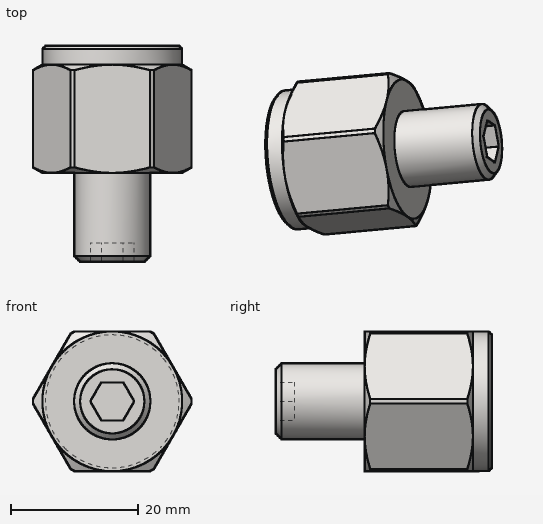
import cadquery as cq
import math

total_length = 34.0
stud_length = 14.0
collar_length = 3.0
stud_diameter = 12.0
stud_chamfer = 0.95
hex_across_flats = 22.0
hex_corner_diameter = 25.0
hex_chamfer_angle = 30.0
collar_chamfer = 0.5
socket_across_flats = 6.0
socket_depth = 3.0

hex_length = total_length - stud_length - collar_length
collar_start = stud_length + hex_length
flat_radius = hex_across_flats / 2
corner_radius = hex_corner_diameter / 2
hex_chamfer_length = (corner_radius - flat_radius) * math.tan(math.radians(hex_chamfer_angle))


def hex_prism(across_flats, start, length):
    """Hexagonal prism along +Y with flats facing up and down."""
    across_corners = across_flats / math.cos(math.radians(30))
    return (
        cq.Workplane("XZ", origin=(0, start, 0))
        .polygon(6, across_corners)
        .extrude(-length)
    )


def make_stud():
    """Round stud with a chamfered tip."""
    return (
        cq.Workplane("XZ")
        .circle(stud_diameter / 2)
        .extrude(-stud_length)
        .faces("<Y")
        .chamfer(stud_chamfer)
    )


def make_hex_body():
    """Hexagon with turned corners and a conical chamfer at both ends."""
    turned_envelope = (
        cq.Workplane("XY")
        .moveTo(0, stud_length)
        .lineTo(flat_radius, stud_length)
        .lineTo(corner_radius, stud_length + hex_chamfer_length)
        .lineTo(corner_radius, collar_start - hex_chamfer_length)
        .lineTo(flat_radius, collar_start)
        .lineTo(0, collar_start)
        .close()
        .revolve(360, (0, 0, 0), (0, 1, 0))
    )
    return hex_prism(hex_across_flats, stud_length, hex_length).intersect(turned_envelope)


def make_collar():
    """Round collar behind the hexagon, chamfered on its outer end."""
    return (
        cq.Workplane("XZ", origin=(0, collar_start, 0))
        .circle(flat_radius)
        .extrude(-collar_length)
        .faces(">Y")
        .chamfer(collar_chamfer)
    )


socket = hex_prism(socket_across_flats, 0, socket_depth)
result = make_stud().union(make_hex_body()).union(make_collar()).cut(socket)